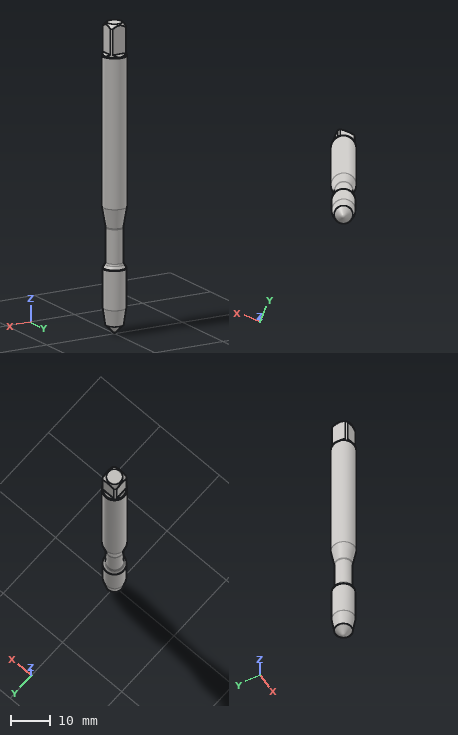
import cadquery as cq

TOTAL_LENGTH = 82.2

POINT_RADIUS = 2.4
POINT_HEIGHT = POINT_RADIUS
THREAD_RADIUS = 6.1 / 2
LEAD_TOP_Z = 6.9
THREAD_TOP_Z = 17.3

NECK_RADIUS = 4.6 / 2
COLLAR_HEIGHT = 0.25
SHOULDER_BASE_Z = THREAD_TOP_Z + COLLAR_HEIGHT
SHOULDER_LENGTH = 1.15
NECK_BASE_Z = SHOULDER_BASE_Z + SHOULDER_LENGTH
NECK_TOP_Z = 28.2
SHOULDER_FILLET = 1.0
TAPER_FILLET = 1.65
EDGE_SEARCH_REACH = 0.1

SHANK_RADIUS = 6.5 / 2
SHANK_BASE_Z = 33.6
SHANK_TOP_Z = 73.4

DRIVE_CORNER_RADIUS = 6.1 / 2
DRIVE_END_RADIUS = 2.05
DRIVE_CHAMFER_HEIGHT = 1.1
FLAT_TO_CENTRE = 4.8 / 2
FLAT_BASE_Z = 74.3
FLAT_COUNT = 4


def revolve_profile(points):
    """Revolve a closed (radius, height) outline about the Z axis."""
    return cq.Workplane("XZ").polyline(points).close().revolve(360, (0, 0), (0, 1))


def make_cutting_end():
    """Pointed end with a tapered lead and the plain thread cylinder."""
    return revolve_profile([
        (0, 0),
        (POINT_RADIUS, POINT_HEIGHT),
        (THREAD_RADIUS, LEAD_TOP_Z),
        (THREAD_RADIUS, THREAD_TOP_Z),
        (0, THREAD_TOP_Z),
    ])


def make_drive_flat_cutter():
    """Cutter for one flat, with a 45 degree run-out into the shank."""
    reach = 2 * SHANK_RADIUS
    runout = reach - FLAT_TO_CENTRE
    return (
        cq.Workplane("XZ")
        .polyline([
            (FLAT_TO_CENTRE, TOTAL_LENGTH),
            (FLAT_TO_CENTRE, FLAT_BASE_Z),
            (reach, FLAT_BASE_Z - runout),
            (reach, TOTAL_LENGTH),
        ])
        .close()
        .extrude(SHANK_RADIUS, both=True)
    )


def fillet_edge_at(body, height, radius):
    """Fillet the circular edge at one height."""
    edge_zone = cq.selectors.BoxSelector(
        (-SHANK_RADIUS, -SHANK_RADIUS, height - EDGE_SEARCH_REACH),
        (SHANK_RADIUS, SHANK_RADIUS, height + EDGE_SEARCH_REACH),
    )
    return body.edges("%CIRCLE").edges(edge_zone).fillet(radius)


def make_shank():
    """Conical shoulder, neck, shank and square drive in one turned piece."""
    shank = revolve_profile([
        (0, THREAD_TOP_Z),
        (THREAD_RADIUS, THREAD_TOP_Z),
        (THREAD_RADIUS, SHOULDER_BASE_Z),
        (NECK_RADIUS, NECK_BASE_Z),
        (NECK_RADIUS, NECK_TOP_Z),
        (SHANK_RADIUS, SHANK_BASE_Z),
        (SHANK_RADIUS, SHANK_TOP_Z),
        (DRIVE_CORNER_RADIUS, SHANK_TOP_Z + SHANK_RADIUS - DRIVE_CORNER_RADIUS),
        (DRIVE_CORNER_RADIUS, TOTAL_LENGTH - DRIVE_CHAMFER_HEIGHT),
        (DRIVE_END_RADIUS, TOTAL_LENGTH),
        (0, TOTAL_LENGTH),
    ])
    shank = fillet_edge_at(shank, NECK_BASE_Z, SHOULDER_FILLET)
    shank = fillet_edge_at(shank, NECK_TOP_Z, TAPER_FILLET)
    cutter = make_drive_flat_cutter()
    for index in range(FLAT_COUNT):
        shank = shank.cut(cutter.rotate((0, 0, 0), (0, 0, 1), index * 360 / FLAT_COUNT))
    return shank


cutting_end = make_cutting_end()
shank = make_shank()

result = cq.Compound.makeCompound([cutting_end.val(), shank.val()])